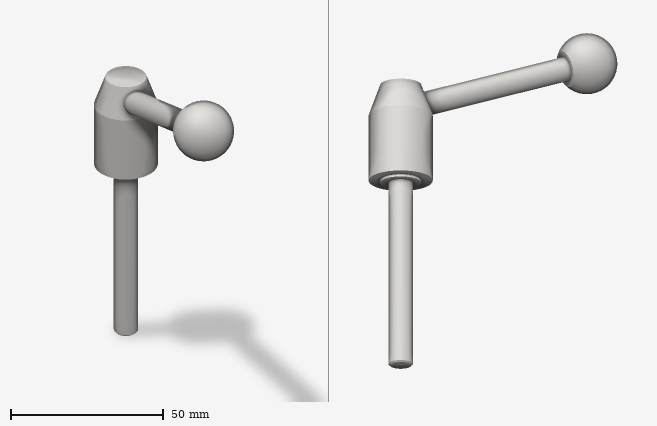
import cadquery as cq
import math


stud_diameter = 8.0
stud_length = 63.0
stud_chamfer = 0.5
collar_diameter = 13.5
collar_height = 0.8

hub_diameter = 21.0
hub_top_diameter = 13.5
hub_height = 33.0
hub_taper_height = 10.5

arm_diameter = 8.0
arm_angle = 20.0
ball_diameter = 20.0
ball_reach = 65.0
ball_top_height = 58.05
ball_flat_distance = 8.0

ball_center_height = ball_top_height - ball_diameter / 2
arm_rise = ball_reach * math.tan(math.radians(arm_angle))
arm_length = ball_reach / math.cos(math.radians(arm_angle))
arm_start_height = ball_center_height - arm_rise


def make_hub():
    """Round hub whose upper end tapers to a smaller flat top."""
    hub_radius = hub_diameter / 2
    return (
        cq.Workplane("XZ")
        .lineTo(hub_radius, 0)
        .lineTo(hub_radius, hub_height - hub_taper_height)
        .lineTo(hub_top_diameter / 2, hub_height)
        .lineTo(0, hub_height)
        .close()
        .revolve(360, (0, 0, 0), (0, 1, 0))
    )


def make_stud():
    """Thin collar under the hub with a chamfered stud below it."""
    collar = cq.Workplane("XY").circle(collar_diameter / 2).extrude(-collar_height)
    stud = (
        cq.Workplane("XY")
        .circle(stud_diameter / 2)
        .extrude(-(collar_height + stud_length))
        .faces("<Z")
        .chamfer(stud_chamfer)
    )
    return collar.union(stud)


def make_arm_and_ball():
    """Arm starting on the hub axis, ending in a ball with a flat facing the hub."""
    arm_plane = cq.Plane(
        origin=(0, 0, arm_start_height),
        xDir=(0, 1, 0),
        normal=(math.cos(math.radians(arm_angle)), 0, math.sin(math.radians(arm_angle))),
    )
    arm = cq.Workplane(arm_plane).circle(arm_diameter / 2).extrude(arm_length)
    ball_plane = cq.Workplane(arm_plane).workplane(offset=arm_length)
    ball = ball_plane.sphere(ball_diameter / 2)
    flat_cutter = (
        ball_plane.workplane(offset=-ball_flat_distance)
        .circle(ball_diameter)
        .extrude(-ball_diameter)
    )
    return arm.union(ball.cut(flat_cutter))


result = make_hub().union(make_stud()).union(make_arm_and_ball())